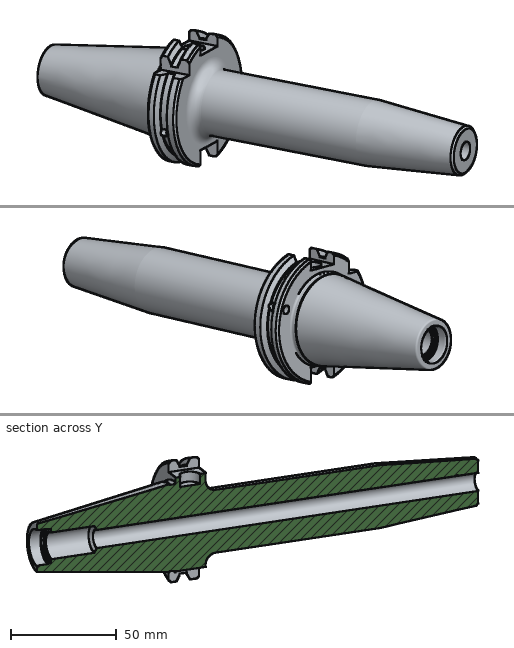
import cadquery as cq
import math

TOTAL_LENGTH = 228.5
GAUGE_X = 68.3
FLANGE_START_X = 71.7
FLANGE_END_X = 87.5
NOSE_START_X = 177.7

TAPER_RATIO = 7 / 24
GAUGE_DIAMETER = 44.5
TAPER_END_FILLET = 1.0
NECK_DIAMETER = 43.9
NECK_CHAMFER_LENGTH = 0.7
NECK_FILLET_RADIUS = 1.0

FLANGE_DIAMETER = 63.3
FLANGE_CHAMFER = 1.1
GROOVE_CENTER_X = 79.3
GROOVE_MOUTH_WIDTH = 7.0
GROOVE_FLOOR_WIDTH = 3.7
GROOVE_FLOOR_DIAMETER = 56.2
GROOVE_HALF_ANGLE = 30.0

BODY_DIAMETER = 32.0
BODY_FILLET_RADIUS = 5.0
NOSE_END_DIAMETER = 24.0
NOSE_END_CHAMFER = 1.1

MOUTH_DIAMETER = 18.3
MOUTH_CHAMFER_DEPTH = 1.1
RECESS_DIAMETER = 17.5
RECESS_DEPTH = 5.7
PILOT_DIAMETER = 17.0
PILOT_START_X = 6.2
PILOT_DEPTH = 7.3
THREAD_ENTRY_DIAMETER = 14.0
THREAD_DIAMETER = 13.2
THREAD_DEPTH = 29.7
DRILL_POINT_ANGLE = 118.0
THROUGH_DIAMETER = 9.0

DRIVE_SLOT_WIDTH = 16.0
TOP_SLOT_FLOOR = 25.1
BOTTOM_SLOT_FLOOR = 22.4
POCKET_DIAMETER = 10.0
POCKET_DEPTH = 5.0
NOTCH_OFFSET = 18.5

COOLANT_CIRCLE_RADIUS = 27.2
COOLANT_ANGLE = 20.0
COOLANT_DIAMETER = 4.0
SCREW_HOLE_DEPTH = 2.3

FLANGE_LENGTH = FLANGE_END_X - FLANGE_START_X
FLANGE_RADIUS = FLANGE_DIAMETER / 2
BODY_RADIUS = BODY_DIAMETER / 2
ARC_MID_RATIO = 1 - math.sqrt(0.5)


def make_turned_body():
    """Revolve the outer profile of the shank, flange, body and nose about X."""
    taper_end_radius = (GAUGE_DIAMETER - TAPER_RATIO * GAUGE_X) / 2
    chamfered_radius = FLANGE_RADIUS - FLANGE_CHAMFER
    groove_wall_radius = (
        FLANGE_RADIUS
        - (GROOVE_MOUTH_WIDTH - GROOVE_FLOOR_WIDTH) / 2 / math.tan(math.radians(GROOVE_HALF_ANGLE))
    )
    half_mouth = GROOVE_MOUTH_WIDTH / 2
    half_floor = GROOVE_FLOOR_WIDTH / 2
    groove_radius = GROOVE_FLOOR_DIAMETER / 2
    nose_radius = NOSE_END_DIAMETER / 2
    neck_radius = NECK_DIAMETER / 2
    neck_fillet_mid = NECK_FILLET_RADIUS * ARC_MID_RATIO
    body_fillet_mid = BODY_FILLET_RADIUS * ARC_MID_RATIO

    profile = (
        cq.Workplane("XY")
        .moveTo(0, 0)
        .lineTo(0, taper_end_radius)
        .lineTo(GAUGE_X, GAUGE_DIAMETER / 2)
        .lineTo(GAUGE_X + NECK_CHAMFER_LENGTH, neck_radius)
        .lineTo(FLANGE_START_X - NECK_FILLET_RADIUS, neck_radius)
        .threePointArc(
            (FLANGE_START_X - neck_fillet_mid, neck_radius + neck_fillet_mid),
            (FLANGE_START_X, neck_radius + NECK_FILLET_RADIUS),
        )
        .lineTo(FLANGE_START_X, chamfered_radius)
        .lineTo(FLANGE_START_X + FLANGE_CHAMFER, FLANGE_RADIUS)
        .lineTo(GROOVE_CENTER_X - half_mouth, FLANGE_RADIUS)
        .lineTo(GROOVE_CENTER_X - half_floor, groove_wall_radius)
        .lineTo(GROOVE_CENTER_X - half_floor, groove_radius)
        .lineTo(GROOVE_CENTER_X + half_floor, groove_radius)
        .lineTo(GROOVE_CENTER_X + half_floor, groove_wall_radius)
        .lineTo(GROOVE_CENTER_X + half_mouth, FLANGE_RADIUS)
        .lineTo(FLANGE_END_X - FLANGE_CHAMFER, FLANGE_RADIUS)
        .lineTo(FLANGE_END_X, chamfered_radius)
        .lineTo(FLANGE_END_X, BODY_RADIUS + BODY_FILLET_RADIUS)
        .threePointArc(
            (FLANGE_END_X + body_fillet_mid, BODY_RADIUS + body_fillet_mid),
            (FLANGE_END_X + BODY_FILLET_RADIUS, BODY_RADIUS),
        )
        .lineTo(NOSE_START_X, BODY_RADIUS)
        .lineTo(TOTAL_LENGTH - NOSE_END_CHAMFER, nose_radius)
        .lineTo(TOTAL_LENGTH, nose_radius - NOSE_END_CHAMFER)
        .lineTo(TOTAL_LENGTH, 0)
        .close()
    )
    body = profile.revolve(360, (0, 0, 0), (1, 0, 0))
    return body.faces("<X").edges().fillet(TAPER_END_FILLET)


def make_bore():
    """Stepped bore on the X axis, open at both ends."""
    entry_chamfer = (THREAD_ENTRY_DIAMETER - THREAD_DIAMETER) / 2
    half_point = math.radians(DRILL_POINT_ANGLE / 2)
    cone_length = (THREAD_DIAMETER - THROUGH_DIAMETER) / 2 / math.tan(half_point)
    profile = (
        cq.Workplane("XY")
        .moveTo(0, 0)
        .lineTo(0, MOUTH_DIAMETER / 2)
        .lineTo(MOUTH_CHAMFER_DEPTH, RECESS_DIAMETER / 2)
        .lineTo(RECESS_DEPTH, RECESS_DIAMETER / 2)
        .lineTo(PILOT_START_X, PILOT_DIAMETER / 2)
        .lineTo(PILOT_DEPTH, PILOT_DIAMETER / 2)
        .lineTo(PILOT_DEPTH, THREAD_ENTRY_DIAMETER / 2)
        .lineTo(PILOT_DEPTH + entry_chamfer, THREAD_DIAMETER / 2)
        .lineTo(THREAD_DEPTH, THREAD_DIAMETER / 2)
        .lineTo(THREAD_DEPTH + cone_length, THROUGH_DIAMETER / 2)
        .lineTo(TOTAL_LENGTH, THROUGH_DIAMETER / 2)
        .lineTo(TOTAL_LENGTH, 0)
        .close()
    )
    return profile.revolve(360, (0, 0, 0), (1, 0, 0))


def flange_block(y_min, y_max, z_min, z_max):
    """Cutting block as long as the flange."""
    return cq.Workplane("XY").box(
        FLANGE_LENGTH, y_max - y_min, z_max - z_min, centered=False
    ).translate((FLANGE_START_X, y_min, z_min))


def make_flange_cutouts():
    """Two drive slots, the round pocket in the top slot and the corner notch."""
    half_slot = DRIVE_SLOT_WIDTH / 2
    top_slot = flange_block(-half_slot, half_slot, TOP_SLOT_FLOOR, FLANGE_RADIUS)
    bottom_slot = flange_block(-half_slot, half_slot, -FLANGE_RADIUS, -BOTTOM_SLOT_FLOOR)
    notch = flange_block(-FLANGE_RADIUS, -NOTCH_OFFSET, NOTCH_OFFSET, FLANGE_RADIUS)
    pocket = (
        cq.Workplane("XY", origin=(GROOVE_CENTER_X, 0, TOP_SLOT_FLOOR - POCKET_DEPTH))
        .circle(POCKET_DIAMETER / 2)
        .extrude(FLANGE_RADIUS)
    )
    return top_slot.union(bottom_slot).union(notch).union(pocket)


def make_coolant_hole(angle):
    """Axial hole from the flange face, met by a radial screw hole in the groove floor."""
    radians = math.radians(angle)
    outward = cq.Vector(0, math.cos(radians), math.sin(radians))
    axial = cq.Solid.makeCylinder(
        COOLANT_DIAMETER / 2,
        GROOVE_CENTER_X - FLANGE_START_X,
        outward * COOLANT_CIRCLE_RADIUS + cq.Vector(FLANGE_START_X, 0, 0),
        cq.Vector(1, 0, 0),
    )
    groove_radius = GROOVE_FLOOR_DIAMETER / 2
    radial = cq.Solid.makeCylinder(
        COOLANT_DIAMETER / 2,
        FLANGE_RADIUS - groove_radius + SCREW_HOLE_DEPTH,
        outward * (groove_radius - SCREW_HOLE_DEPTH) + cq.Vector(GROOVE_CENTER_X, 0, 0),
        outward,
    )
    return cq.Workplane("XY").add(axial).union(cq.Workplane("XY").add(radial))


result = make_turned_body().cut(make_bore()).cut(make_flange_cutouts())
for hole_angle in (COOLANT_ANGLE, COOLANT_ANGLE + 180):
    result = result.cut(make_coolant_hole(hole_angle))